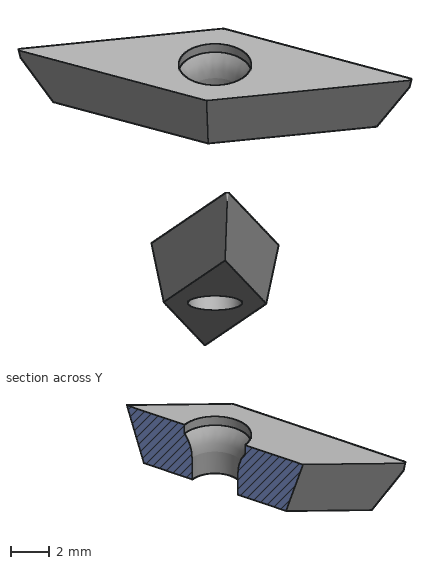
import cadquery as cq
import math

length = 19.7
width = 6.35
thickness = 3.17
tip_angle = math.radians(35)
relief_angle = math.radians(11)

mouth_radius = 1.9
mouth_depth = 0.53
bore_radius = 1.42
seat_bottom_depth = 1.85

half_width = width / 2
tip_slope = math.tan(tip_angle / 2)
sharp_reach = half_width / tip_slope
nose_radius = (sharp_reach - length / 2) / (1 / tip_slope - 1)
nose_end_radius = 0.004
nose_depth = (nose_radius - nose_end_radius) / math.tan(relief_angle)
cutter_margin = 2.0


def rhombus_points(half_height):
    tip_x = half_height / tip_slope
    blunt_x = half_height * tip_slope
    return [
        (-tip_x, -half_height),
        (blunt_x, -half_height),
        (tip_x, half_height),
        (-blunt_x, half_height),
    ]


def make_body():
    """Rhombic block with all four flanks leaning in by the relief angle."""
    bottom_half_width = half_width - thickness * math.tan(relief_angle)
    return (
        cq.Workplane("XY")
        .polyline(rhombus_points(half_width)).close()
        .workplane(offset=-thickness)
        .polyline(rhombus_points(bottom_half_width)).close()
        .loft(ruled=True)
    )


def make_nose_cutter():
    """Waste outside the conical nose at the -X tip."""
    center_x = -(half_width - nose_radius) / tip_slope
    center_y = -(half_width - nose_radius)
    reach = cutter_margin * nose_radius
    corner_offset = reach / tip_slope
    outline = [
        (0, 0),
        (0, -reach),
        (-corner_offset, -reach),
        (-reach * math.sin(tip_angle), reach * math.cos(tip_angle)),
    ]
    waste = cq.Workplane("XY").polyline(outline).close().extrude(-nose_depth)
    cone = cq.Workplane(cq.Solid.makeCone(
        nose_radius, nose_end_radius, nose_depth, cq.Vector(0, 0, 0), cq.Vector(0, 0, -1)
    ))
    return waste.cut(cone).translate((center_x, center_y, 0))


def make_hole():
    """Revolved screw hole whose seat arc runs tangent into the bore."""
    seat_width = mouth_radius - bore_radius
    seat_height = seat_bottom_depth - mouth_depth
    seat_radius = (seat_width**2 + seat_height**2) / (2 * seat_width)
    half_sweep = math.asin(seat_height / seat_radius) / 2
    seat_middle = (
        bore_radius + seat_radius * (1 - math.cos(half_sweep)),
        -seat_bottom_depth + seat_radius * math.sin(half_sweep),
    )
    return (
        cq.Workplane("XZ")
        .lineTo(mouth_radius, 0)
        .lineTo(mouth_radius, -mouth_depth)
        .threePointArc(seat_middle, (bore_radius, -seat_bottom_depth))
        .lineTo(bore_radius, -thickness)
        .lineTo(0, -thickness)
        .close()
        .revolve(360, (0, 0, 0), (0, 1, 0))
    )


result = make_body().cut(make_hole())
for turn in (0, 180):
    nose_cutter = make_nose_cutter().rotate((0, 0, 0), (0, 0, 1), turn)
    result = result.cut(nose_cutter)